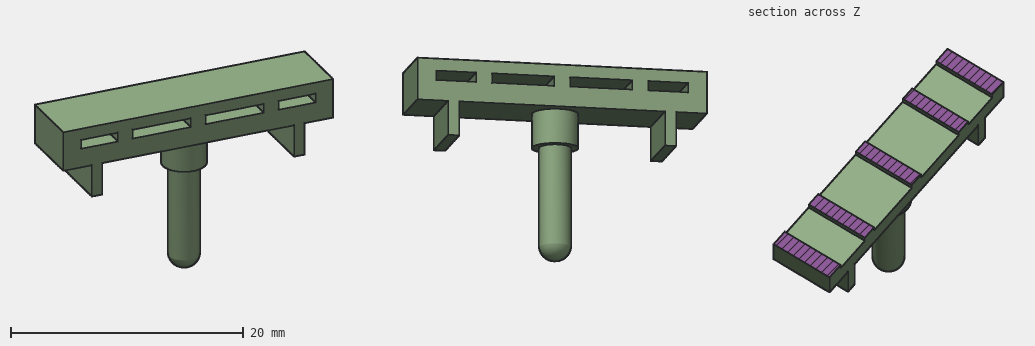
import cadquery as cq

bar_width = 6.0
bar_length = 25.5
bar_height = 3.7

slot_height = 0.85
slot_top_margin = 1.07
slot_gap = 1.4
inner_slot_length = 5.48
outer_slot_length = 3.5

leg_thickness = 1.0
leg_height = 3.0
leg_spacing = 19.1

collar_diameter = 4.0
collar_height = leg_height
pin_diameter = 2.8
overall_height = 16.7
tip_height = 1.22

slot_z = bar_height - slot_top_margin - slot_height / 2
inner_slot_y = (slot_gap + inner_slot_length) / 2
outer_slot_y = inner_slot_y + inner_slot_length / 2 + slot_gap + outer_slot_length / 2
pin_bottom_z = bar_height - overall_height
tip_start_z = pin_bottom_z + tip_height


def centred_box(length, height, y, z):
    """Block as wide as the bar, centred at the given Y and Z."""
    return cq.Workplane("XY").box(bar_width, length, height).translate((0, y, z))


def make_pin():
    """Pin from the bar's underside down to a domed tip, revolved about Z."""
    pin_radius = pin_diameter / 2
    dome_radius = (pin_radius**2 + tip_height**2) / (2 * tip_height)
    dome_centre_z = pin_bottom_z + dome_radius
    dome_mid_z = pin_bottom_z + tip_height / 2
    dome_mid_radius = (dome_radius**2 - (dome_centre_z - dome_mid_z) ** 2) ** 0.5
    return (
        cq.Workplane("XZ")
        .lineTo(pin_radius, 0)
        .lineTo(pin_radius, tip_start_z)
        .threePointArc((dome_mid_radius, dome_mid_z), (0, pin_bottom_z))
        .close()
        .revolve(360, (0, 0), (0, 1))
    )


bar = centred_box(bar_length, bar_height, 0, bar_height / 2)
for side in (-1, 1):
    bar = bar.cut(centred_box(inner_slot_length, slot_height, side * inner_slot_y, slot_z))
    bar = bar.cut(centred_box(outer_slot_length, slot_height, side * outer_slot_y, slot_z))
    bar = bar.union(centred_box(leg_thickness, leg_height, side * leg_spacing / 2, -leg_height / 2))

collar = cq.Workplane("XY").circle(collar_diameter / 2).extrude(-collar_height)

result = bar.union(collar).union(make_pin())